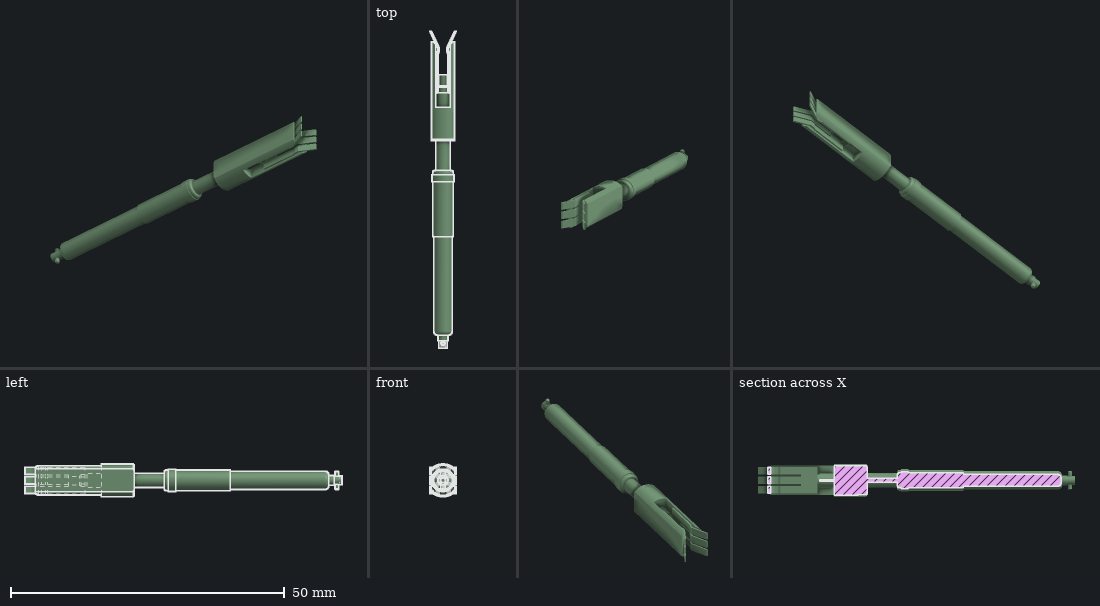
import cadquery as cq


length = 57.9
tip_span = 4.8

tip_radius = 0.82
tip_hole_radius = 0.45
tip_hole_depth = 0.5
tip_end = 1.4
pin_radius = 0.38
pin_half_length = 1.7
pin_y = 0.95
pin_chamfer = 0.15

neck_radius = 0.93
neck_end = 2.4
barrel_radius = 1.7
barrel_rounding = 0.72
sleeve_radius = 1.9
sleeve_start = 20.4
collar_radius = 2.05
collar_start = 30.4
collar_end = 31.75
collar_nose_end = 32.5
collar_nose_rounding = 0.4

shaft_radius = 1.33

body_start = 37.9
body_end = 56.0
body_radius = 3.0
body_half_width = 2.12
body_rear_chamfer = 0.25
slot_half_width = 1.28
slot_floor = 44.0
slot_lead_in = 0.5

plug_steps = [(1.28, 46.65), (1.1, 47.7), (0.87, 48.0), (0.78, 50.0)]

spring_start = 47.0
spring_thickness = 0.3
spring_inner_x = 0.88
bend_inner_x = 0.7
bend_start = 53.8
bend_low = 54.2
bend_high = 54.9
finger_count = 3
finger_width = 1.36
finger_pitch = 1.74
finger_root = 50.0


def cylinder(radius, start, end):
    """Cylinder on the long axis between two Y positions."""
    return cq.Workplane("XZ", origin=(0, start, 0)).circle(radius).extrude(start - end)


def make_tail():
    tip = cylinder(tip_radius, 0, tip_end).cut(cylinder(tip_hole_radius, 0, tip_hole_depth))
    pin = (
        cq.Workplane("XY", origin=(0, pin_y, -pin_half_length))
        .circle(pin_radius)
        .extrude(2 * pin_half_length)
        .edges()
        .chamfer(pin_chamfer)
    )
    return tip.union(pin).union(cylinder(neck_radius, tip_end, neck_end))


def make_barrel():
    barrel = cylinder(barrel_radius, neck_end, sleeve_start).faces("<Y").edges().fillet(barrel_rounding)
    sleeve = cylinder(sleeve_radius, sleeve_start, collar_start)
    collar = cylinder(collar_radius, collar_start, collar_end)
    nose = cylinder(sleeve_radius, collar_end, collar_nose_end)
    nose = nose.faces(">Y").edges().fillet(collar_nose_rounding)
    return barrel.union(sleeve).union(collar).union(nose)


def make_body():
    body_length = body_end - body_start
    body = cylinder(body_radius, body_start, body_end).faces("<Y").edges().chamfer(body_rear_chamfer)
    flats = cq.Workplane("XY").box(2 * body_half_width, body_length, 2 * body_radius)
    body = body.intersect(flats.translate((0, (body_start + body_end) / 2, 0)))
    slot = (
        cq.Workplane("XY", origin=(0, 0, -body_radius))
        .moveTo(-slot_half_width, slot_floor)
        .lineTo(slot_half_width, slot_floor)
        .lineTo(slot_half_width, body_end - slot_lead_in)
        .lineTo(slot_half_width + slot_lead_in, body_end)
        .lineTo(-slot_half_width - slot_lead_in, body_end)
        .lineTo(-slot_half_width, body_end - slot_lead_in)
        .close()
        .extrude(2 * body_radius)
    )
    return body.cut(slot)


def make_plug():
    plug = cq.Workplane("XY")
    start = slot_floor
    for radius, end in plug_steps:
        plug = plug.union(cylinder(radius, start, end))
        start = end
    return plug


def make_spring():
    """Sheet spring on the +X side: straight leg, inward bend, then flared fingers."""
    sheet_width = (finger_count - 1) * finger_pitch + finger_width
    tip_x = tip_span / 2
    sheet = (
        cq.Workplane("XY", origin=(0, 0, -sheet_width / 2))
        .moveTo(spring_inner_x, spring_start)
        .lineTo(spring_inner_x, bend_start)
        .lineTo(bend_inner_x, bend_low)
        .lineTo(bend_inner_x, bend_high)
        .lineTo(tip_x - spring_thickness, length)
        .lineTo(tip_x, length)
        .lineTo(bend_inner_x + spring_thickness, bend_high)
        .lineTo(bend_inner_x + spring_thickness, bend_low)
        .lineTo(spring_inner_x + spring_thickness, bend_start)
        .lineTo(spring_inner_x + spring_thickness, spring_start)
        .close()
        .extrude(sheet_width)
    )
    gap = finger_pitch - finger_width
    gap_length = length - finger_root
    for gap_index in range(finger_count - 1):
        gap_z = (gap_index - (finger_count - 2) / 2) * finger_pitch
        cutter = cq.Workplane("XY").box(tip_span, gap_length, gap)
        sheet = sheet.cut(cutter.translate((tip_span / 2, finger_root + gap_length / 2, gap_z)))
    return sheet


spring = make_spring()
result = (
    make_tail()
    .union(make_barrel())
    .union(cylinder(shaft_radius, collar_nose_end, body_start))
    .union(make_body())
    .union(make_plug())
    .union(spring)
    .union(spring.mirror("YZ"))
)